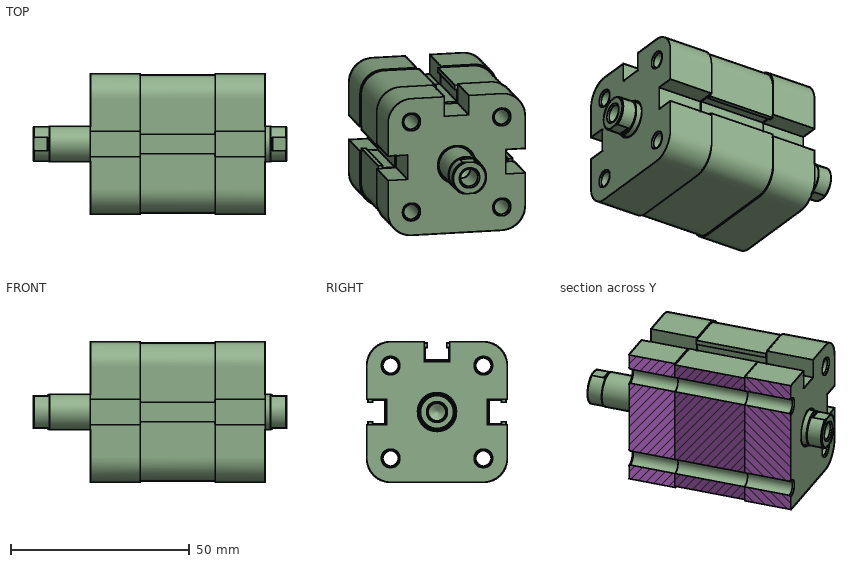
import cadquery as cq
import math


ROD_LENGTH = 71.0
CAP_LENGTH = 14.0
TUBE_LENGTH = 21.0
FRONT_OVERHANG = 16.0
ROD_FRONT = -ROD_LENGTH / 2
FRONT_CAP_START = ROD_FRONT + FRONT_OVERHANG
TUBE_START = FRONT_CAP_START + CAP_LENGTH
REAR_CAP_START = TUBE_START + TUBE_LENGTH
REAR_CAP_END = REAR_CAP_START + CAP_LENGTH

CAP_WIDTH = 39.5
CAP_CORNER_RADIUS = 6.8
CAP_SLOT_WIDTH = 7.0
CAP_SLOT_FLOOR = 14.1

TUBE_INSET = 0.4
TUBE_WIDTH = CAP_WIDTH - 2 * TUBE_INSET
TUBE_CORNER_RADIUS = CAP_CORNER_RADIUS - TUBE_INSET
TUBE_SLOT_WIDTH = 6.6
TUBE_SLOT_FLOOR = 14.6
LIP_OPENING = 5.4
LIP_THICKNESS = 1.3

SIDE_SLOT_ANGLES = (90, -90)

MOUNT_SPACING = 26.0
MOUNT_DIAMETER = 4.3
MOUNT_MOUTH_DIAMETER = 5.2

ROD_DIAMETER = 10.0
NECK_DIAMETER = 9.8
NECK_LENGTH = 4.4
SHOULDER_LENGTH = 0.2
END_CHAMFER = 0.3
FLATS_WIDTH = 9.0
FLAT_LENGTH = 3.9
THREAD_HOLE_DIAMETER = 5.0
THREAD_MOUTH_DIAMETER = 5.8
THREAD_HOLE_DEPTH = 9.95
DRILL_POINT_ANGLE = 118.0

BORE_MOUTH_DIAMETER = 10.9


def block(start, length, width, corner_radius):
    """Square bar along +X with rounded long edges."""
    bar = cq.Workplane("YZ", origin=(start, 0, 0)).rect(width, width).extrude(length)
    return bar.edges("|X").fillet(corner_radius)


def channels(start, length, width, inner, outer):
    """Three straight bars along X, between two distances from the axis, one for each slotted side."""
    bar = cq.Workplane("XY").box(length, width, outer - inner, centered=(False, True, False))
    bar = bar.translate((start, 0, inner))
    bars = bar
    for angle in SIDE_SLOT_ANGLES:
        bars = bars.union(bar.rotate((0, 0, 0), (1, 0, 0), angle))
    return bars


def rod_bore(start, length):
    """Waste of the hole that the rod runs through."""
    return cq.Workplane("YZ", origin=(start, 0, 0)).circle(ROD_DIAMETER / 2).extrude(length)


def mounting_holes(start, length):
    """Waste of the four corner holes."""
    return (
        cq.Workplane("YZ", origin=(start, 0, 0))
        .rect(MOUNT_SPACING, MOUNT_SPACING, forConstruction=True)
        .vertices()
        .circle(MOUNT_DIAMETER / 2)
        .extrude(length)
    )


def countersink(face_x, inward, mouth_diameter, hole_diameter, y=0.0, z=0.0):
    """45 degree cone at the mouth of a hole along X; inward is +1 or -1."""
    depth = (mouth_diameter - hole_diameter) / 2
    cone = cq.Solid.makeCone(
        mouth_diameter / 2,
        hole_diameter / 2,
        depth,
        pnt=cq.Vector(face_x, y, z),
        dir=cq.Vector(inward, 0, 0),
    )
    return cq.Workplane(obj=cone)


def make_cap(start, outer_face, inward):
    """End cap; its hole mouths are countersunk on the outer face."""
    cap = block(start, CAP_LENGTH, CAP_WIDTH, CAP_CORNER_RADIUS)
    cap = cap.cut(channels(start, CAP_LENGTH, CAP_SLOT_WIDTH, CAP_SLOT_FLOOR, CAP_WIDTH / 2))
    cap = cap.cut(rod_bore(start, CAP_LENGTH))
    cap = cap.cut(mounting_holes(start, CAP_LENGTH))
    cap = cap.cut(countersink(outer_face, inward, BORE_MOUTH_DIAMETER, ROD_DIAMETER))
    offset = MOUNT_SPACING / 2
    for y in (-offset, offset):
        for z in (-offset, offset):
            cap = cap.cut(countersink(outer_face, inward, MOUNT_MOUTH_DIAMETER, MOUNT_DIAMETER, y, z))
    return cap


def make_tube():
    """Profiled tube with a lipped slot on three sides."""
    lip_underside = TUBE_WIDTH / 2 - LIP_THICKNESS
    tube = block(TUBE_START, TUBE_LENGTH, TUBE_WIDTH, TUBE_CORNER_RADIUS)
    tube = tube.cut(channels(TUBE_START, TUBE_LENGTH, TUBE_SLOT_WIDTH, TUBE_SLOT_FLOOR, lip_underside))
    tube = tube.cut(channels(TUBE_START, TUBE_LENGTH, LIP_OPENING, lip_underside, TUBE_WIDTH / 2))
    tube = tube.cut(rod_bore(TUBE_START, TUBE_LENGTH))
    return tube.cut(mounting_holes(TUBE_START, TUBE_LENGTH))


def turned_rod():
    """Round rod with a stepped and chamfered neck at each end."""
    end = ROD_LENGTH / 2
    neck_end = end - NECK_LENGTH
    shoulder_end = neck_end - SHOULDER_LENGTH
    neck_radius = NECK_DIAMETER / 2
    rod_radius = ROD_DIAMETER / 2
    half_profile = [
        (0, 0),
        (end, 0),
        (end, neck_radius - END_CHAMFER),
        (end - END_CHAMFER, neck_radius),
        (neck_end, neck_radius),
        (shoulder_end, rod_radius),
        (0, rod_radius),
    ]
    half = cq.Workplane("XY").polyline(half_profile).close().revolve(360, (0, 0, 0), (1, 0, 0))
    return half.union(half.mirror("YZ"))


def wrench_flat_cutter():
    """Waste above the flat at the +X end of the rod, with a 45 degree run-out."""
    height = (ROD_DIAMETER - FLATS_WIDTH) / 2
    flat_start = ROD_LENGTH / 2 - FLAT_LENGTH
    bottom = FLATS_WIDTH / 2
    return (
        cq.Workplane("XZ")
        .moveTo(flat_start, bottom)
        .lineTo(ROD_LENGTH / 2, bottom)
        .lineTo(ROD_LENGTH / 2, bottom + height)
        .lineTo(flat_start - height, bottom + height)
        .close()
        .extrude(ROD_DIAMETER / 2, both=True)
    )


def thread_hole_cutter():
    """Countersunk blind hole with a drill-point bottom at the +X end of the rod."""
    end = ROD_LENGTH / 2
    hole_radius = THREAD_HOLE_DIAMETER / 2
    mouth_radius = THREAD_MOUTH_DIAMETER / 2
    bottom = end - THREAD_HOLE_DEPTH
    tip_depth = hole_radius / math.tan(math.radians(DRILL_POINT_ANGLE / 2))
    profile = [
        (end, 0),
        (end, mouth_radius),
        (end - (mouth_radius - hole_radius), hole_radius),
        (bottom, hole_radius),
        (bottom - tip_depth, 0),
    ]
    return cq.Workplane("XY").polyline(profile).close().revolve(360, (0, 0, 0), (1, 0, 0))


def make_rod():
    """Through rod with two wrench flats and a threaded-hole blank at each end."""
    flat = wrench_flat_cutter()
    end_cutters = [flat, flat.mirror("XY"), thread_hole_cutter()]
    rod = turned_rod()
    for cutter in end_cutters:
        rod = rod.cut(cutter).cut(cutter.mirror("YZ"))
    return rod


front_cap = make_cap(FRONT_CAP_START, FRONT_CAP_START, 1)
rear_cap = make_cap(REAR_CAP_START, REAR_CAP_END, -1)
tube = make_tube()
rod = make_rod()

result = cq.Compound.makeCompound([front_cap.val(), rear_cap.val(), tube.val(), rod.val()])